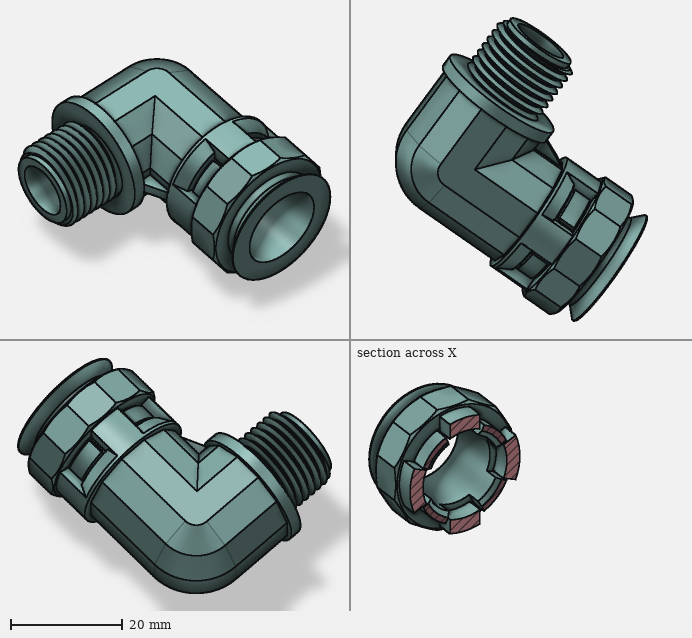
import cadquery as cq
import math


ELBOW_APOTHEM = 10.35
SIDES = 12
BORE_RADIUS = 5.0

FLANGE_RADIUS = 11.5
FLANGE_START = 12.7
FLANGE_END = 14.95
THREAD_END = 25.9
TIP_END = 27.0
TIP_RADIUS = 6.7
TWO_TURN_RISE = 3.0
PITCH = TWO_TURN_RISE / 2
CREST_RADIUS = 8.05
ROOT_RADIUS = 6.85
ROOT_FLAT = 0.2
RIDGE_SINK = 0.05
HELIX_START = 13.45
HELIX_TURNS = 9

COLLAR_START = 16.7
COLLAR_RADIUS = 11.87
WINDOW_START = 17.32
CONE_END = 19.9
CONE_END_RADIUS = 10.5
FINGER_INNER_RADIUS = 8.95
TOP_FINGER_HALF_WIDTH = 3.25
SIDE_FINGER_HALF_WIDTH = 4.65

WEB_THICKNESS = 2.1

NUT_START = 24.15
NUT_END = 30.95
NUT_APOTHEM = 12.55
NUT_FACE_RADIUS = 12.4
NUT_BEVEL_LENGTH = 0.55

COLLET_START = 20.25
HEAD_RADIUS = 9.9
HEAD_FRONT_CHAMFER = 0.32
HEAD_REAR_CHAMFER = 0.35
SHAFT_RADIUS = HEAD_RADIUS - HEAD_REAR_CHAMFER
LEAD_IN_LENGTH = 1.05
COLLET_BORE_RADIUS = 7.6
SLOT_HALF_ANGLE = 24.5
SLOT_COUNT = 4
FLARE_START = 32.52
FLARE_RADIUS = FLANGE_RADIUS
RIM_WIDTH = 0.25
OUTLET_END = 34.7


def revolve_about_x(points):
    """Solid of revolution from (x, radius) points."""
    return cq.Workplane("XY").polyline(points).close().revolve(360, (0, 0, 0), (1, 0, 0))


def cylinder_x(radius, start, end):
    return cq.Workplane("YZ", origin=(start, 0, 0)).circle(radius).extrude(end - start)


def cylinder_inlet(radius, start, end):
    """Cylinder on the inlet axis between two distances from the origin."""
    return cq.Workplane("XZ", origin=(0, -start, 0)).circle(radius).extrude(end - start)


def twelve_sided(plane, apothem, start, length):
    """Twelve-sided prism with flats square to the main axes."""
    corner_radius = apothem / math.cos(math.pi / SIDES)
    prism = cq.Workplane(plane).workplane(offset=start).polygon(SIDES, 2 * corner_radius).extrude(length)
    axis = (1, 0, 0) if plane == "YZ" else (0, 1, 0)
    return prism.rotate((0, 0, 0), axis, 180 / SIDES)


def wedge(half_angle, radius, start, end):
    """Wedge on the X axis that opens towards -Y."""
    reach = 2 * radius
    spread = reach * math.tan(math.radians(half_angle))
    outline = [(0, 0), (-reach, spread), (-reach, -spread)]
    return cq.Workplane("YZ", origin=(start, 0, 0)).polyline(outline).close().extrude(end - start)


def make_bend():
    """Outer corner: half of the pipe section turned a quarter about Z."""
    flat_half = ELBOW_APOTHEM * math.tan(math.pi / SIDES)
    corner_radius = ELBOW_APOTHEM / math.cos(math.pi / SIDES)
    middle = corner_radius * math.sin(math.pi / 4)
    upper = [(0, ELBOW_APOTHEM), (-flat_half, ELBOW_APOTHEM), (-middle, middle), (-ELBOW_APOTHEM, flat_half)]
    lower = [(x, -z) for x, z in reversed(upper)]
    section = cq.Workplane("XZ").polyline(upper + lower).close()
    return section.revolve(90, (0, 0, 0), (0, -1, 0))


def make_thread():
    """Sharp helical ridge around the inlet, cut square at both ends."""
    helix = cq.Wire.makeHelix(PITCH, PITCH * HELIX_TURNS, ROOT_RADIUS, lefthand=True)
    half_foot = (PITCH - ROOT_FLAT) / 2
    foot_radius = ROOT_RADIUS - RIDGE_SINK
    profile = [(foot_radius, -half_foot), (CREST_RADIUS, 0), (foot_radius, half_foot)]
    ridge = cq.Workplane("XZ").polyline(profile).close().sweep(cq.Workplane(helix), isFrenet=True)
    ridge = ridge.translate((0, 0, HELIX_START)).rotate((0, 0, 0), (1, 0, 0), 90)
    ridge = ridge.intersect(cylinder_inlet(2 * CREST_RADIUS, FLANGE_END, THREAD_END))
    return cylinder_inlet(ROOT_RADIUS, FLANGE_END, THREAD_END).union(ridge)


def make_fingers():
    """Four fingers that carry the collar surface on to the nut."""
    tube = cylinder_x(COLLAR_RADIUS, WINDOW_START, NUT_START)
    tube = tube.cut(cylinder_x(FINGER_INNER_RADIUS, WINDOW_START, NUT_START))
    length = NUT_START - WINDOW_START
    top_and_bottom = cq.Workplane("YZ", origin=(WINDOW_START, 0, 0)).rect(
        2 * TOP_FINGER_HALF_WIDTH, 3 * COLLAR_RADIUS
    ).extrude(length)
    half_angle = math.degrees(math.asin(SIDE_FINGER_HALF_WIDTH / COLLAR_RADIUS))
    side = wedge(half_angle, COLLAR_RADIUS, WINDOW_START, NUT_START)
    opposite = side.rotate((0, 0, 0), (1, 0, 0), 180)
    return [tube.intersect(shape) for shape in (top_and_bottom, side, opposite)]


def make_web():
    outline = [
        (0, -ELBOW_APOTHEM),
        (COLLAR_START, -ELBOW_APOTHEM),
        (FLANGE_RADIUS, -FLANGE_START),
        (0, -FLANGE_START),
    ]
    web = cq.Workplane("XY").polyline(outline).close()
    return web.extrude(WEB_THICKNESS / 2, both=True)


def make_housing():
    collar = revolve_about_x([
        (COLLAR_START, 0),
        (COLLAR_START, COLLAR_RADIUS),
        (WINDOW_START, COLLAR_RADIUS),
        (CONE_END, CONE_END_RADIUS),
        (CONE_END, 0),
    ])
    body = twelve_sided("YZ", ELBOW_APOTHEM, 0, COLLAR_START)
    body = body.union(twelve_sided("XZ", ELBOW_APOTHEM, 0, FLANGE_START))
    body = body.union(make_bend()).union(make_web()).union(collar)
    for finger in make_fingers():
        body = body.union(finger)
    body = body.union(cylinder_inlet(FLANGE_RADIUS, FLANGE_START, FLANGE_END))
    body = body.union(cylinder_inlet(TIP_RADIUS, FLANGE_END, TIP_END))
    body = body.union(make_thread())
    body = body.cut(cylinder_inlet(BORE_RADIUS, 0, TIP_END))
    body = body.cut(cylinder_x(BORE_RADIUS, 0, CONE_END))
    return body.cut(cq.Workplane("XY").sphere(BORE_RADIUS))


def make_nut():
    nut = twelve_sided("YZ", NUT_APOTHEM, NUT_START, NUT_END - NUT_START)
    corner_radius = NUT_APOTHEM / math.cos(math.pi / SIDES)
    bevelled_blank = revolve_about_x([
        (NUT_START, 0),
        (NUT_START, NUT_FACE_RADIUS),
        (NUT_START + NUT_BEVEL_LENGTH, corner_radius),
        (NUT_END - NUT_BEVEL_LENGTH, corner_radius),
        (NUT_END, NUT_FACE_RADIUS),
        (NUT_END, 0),
    ])
    return nut.intersect(bevelled_blank).cut(cylinder_x(SHAFT_RADIUS, NUT_START, NUT_END))


def make_collet():
    collet = revolve_about_x([
        (COLLET_START + LEAD_IN_LENGTH, COLLET_BORE_RADIUS),
        (COLLET_START, HEAD_RADIUS - HEAD_FRONT_CHAMFER),
        (COLLET_START + HEAD_FRONT_CHAMFER, HEAD_RADIUS),
        (NUT_START - HEAD_REAR_CHAMFER, HEAD_RADIUS),
        (NUT_START, SHAFT_RADIUS),
        (FLARE_START, SHAFT_RADIUS),
        (OUTLET_END - RIM_WIDTH, FLARE_RADIUS),
        (OUTLET_END, FLARE_RADIUS),
        (OUTLET_END, COLLET_BORE_RADIUS),
    ])
    slot = wedge(SLOT_HALF_ANGLE, HEAD_RADIUS, COLLET_START, NUT_START)
    for index in range(SLOT_COUNT):
        collet = collet.cut(slot.rotate((0, 0, 0), (1, 0, 0), index * 360 / SLOT_COUNT))
    return collet


housing = make_housing()
nut = make_nut()
collet = make_collet()
result = cq.Compound.makeCompound([housing.solids().val(), nut.solids().val(), collet.solids().val()])